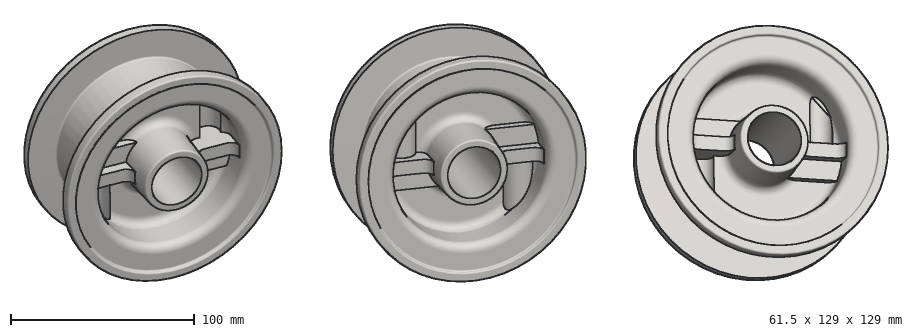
import cadquery as cq
import math

AXIS_START = (0, 0, 0)
AXIS_END = (1, 0, 0)

hub_length = 61.5
bore_radius = 15.0
hub_end_radius = 19.0
hub_root_radius = 20.0
hub_edge_round = 1.0

flange_radius = 64.5
flange_width = 57.0
flange_edge_round = 1.0
flange_inner_x_at_rim = 22.4
flange_inner_x_at_barrel = 22.0
recess_radius = 59.1
recess_round = 1.0

barrel_mid_radius = 46.1
barrel_end_radius = 47.3
barrel_fillet = 1.0

cavity_radius = 43.5
cavity_fillet = 5.0
web_half_thickness = 2.5

hole_offset = 33.3
hole_mouth_radius = 7.1
hole_floor_radius = 6.75
boss_radius = 8.9

rib_half_height = 4.0
rib_half_width = 13.7
rib_fillet = 5.0
rib_inner_y = 19.5
rib_outer_y = 43.2
block_depth = 15.0
block_inner_y = 10.0

hub_end_x = hub_length / 2
flange_face_x = flange_width / 2
recess_face_x = flange_face_x - 2 * recess_round
fillet_top_x = web_half_thickness + cavity_fillet
barrel_end_x = flange_inner_x_at_barrel - barrel_fillet
flange_root_radius = barrel_end_radius + barrel_fillet
block_half_width = fillet_top_x
hub_fillet_radius = hub_root_radius + cavity_fillet
rim_fillet_radius = cavity_radius - cavity_fillet
diagonal = math.sqrt(0.5)


def corner_arc(sketch, center, radius, x_side, r_side, end):
    """Quarter round about center, bulging towards (x_side, r_side), up to end."""
    mid = (center[0] + x_side * radius * diagonal, center[1] + r_side * radius * diagonal)
    return sketch.threePointArc(mid, end)


def half_wheel():
    """Revolved half of the wheel on the +X side, from the mid-plane outwards."""
    profile = cq.Workplane("XY").moveTo(0, bore_radius).lineTo(hub_end_x, bore_radius)

    edge_x = hub_end_x - hub_edge_round
    edge_radius = hub_end_radius - hub_edge_round
    profile = profile.lineTo(hub_end_x, edge_radius)
    profile = corner_arc(profile, (edge_x, edge_radius), hub_edge_round, 1, 1, (edge_x, hub_end_radius))
    profile = profile.lineTo(fillet_top_x, hub_root_radius)

    hub_fillet_center = (fillet_top_x, hub_fillet_radius)
    hub_fillet_end = (web_half_thickness, hub_fillet_radius)
    profile = corner_arc(profile, hub_fillet_center, cavity_fillet, -1, -1, hub_fillet_end)
    profile = profile.lineTo(web_half_thickness, rim_fillet_radius)
    rim_fillet_center = (fillet_top_x, rim_fillet_radius)
    rim_fillet_end = (fillet_top_x, cavity_radius)
    profile = corner_arc(profile, rim_fillet_center, cavity_fillet, -1, 1, rim_fillet_end)
    lip_x = recess_face_x - cavity_fillet
    lip_radius = cavity_radius + cavity_fillet
    profile = profile.lineTo(lip_x, cavity_radius)
    profile = corner_arc(profile, (lip_x, lip_radius), cavity_fillet, 1, -1, (recess_face_x, lip_radius))

    step_x = recess_face_x + recess_round
    inner_step_radius = recess_radius - recess_round
    outer_step_radius = recess_radius + recess_round
    profile = profile.lineTo(recess_face_x, inner_step_radius)
    profile = corner_arc(profile, (step_x, inner_step_radius), recess_round, -1, 1, (step_x, recess_radius))
    step_end = (flange_face_x, outer_step_radius)
    profile = corner_arc(profile, (step_x, outer_step_radius), recess_round, 1, -1, step_end)
    rim_x = flange_face_x - flange_edge_round
    rim_edge_radius = flange_radius - flange_edge_round
    profile = profile.lineTo(flange_face_x, rim_edge_radius)
    profile = corner_arc(profile, (rim_x, rim_edge_radius), flange_edge_round, 1, 1, (rim_x, flange_radius))

    profile = profile.lineTo(flange_inner_x_at_rim, flange_radius)
    profile = profile.lineTo(flange_inner_x_at_barrel, flange_root_radius)
    barrel_fillet_center = (barrel_end_x, flange_root_radius)
    barrel_end = (barrel_end_x, barrel_end_radius)
    profile = corner_arc(profile, barrel_fillet_center, barrel_fillet, 1, -1, barrel_end)
    sag = barrel_end_radius - barrel_mid_radius
    barrel_quarter_point = (barrel_end_x / 2, barrel_mid_radius + sag / 4)
    profile = profile.threePointArc(barrel_quarter_point, (0, barrel_mid_radius))
    return profile.close().revolve(360, AXIS_START, AXIS_END)


def box_between(x_range, y_range, z_range):
    """Box spanning a (low, high) range along each axis."""
    size = [high - low for low, high in (x_range, y_range, z_range)]
    center = [(high + low) / 2 for low, high in (x_range, y_range, z_range)]
    return cq.Workplane("XY").box(*size).translate(tuple(center))


def ring_space():
    """Annular space between hub and barrel that the +Y inserts must stay inside."""
    mid_ring_radius = (bore_radius + hub_end_radius) / 2
    wall_radius = (cavity_radius + barrel_mid_radius) / 2
    ring = cq.Workplane("YZ").circle(wall_radius).circle(mid_ring_radius)
    return ring.extrude(flange_width / 2, both=True)


def rib():
    """Flat rib from hub to rim on the +Y side, flaring into both of them."""
    flare_x = rib_half_width + rib_fillet
    hub_y = bore_radius
    rim_y = barrel_mid_radius
    inner_arc_y = rib_inner_y + rib_fillet
    outer_arc_y = rib_outer_y - rib_fillet
    outline = cq.Workplane("XY").moveTo(0, hub_y).lineTo(flare_x, hub_y).lineTo(flare_x, rib_inner_y)
    inner_arc_end = (rib_half_width, inner_arc_y)
    outline = corner_arc(outline, (flare_x, inner_arc_y), rib_fillet, -1, -1, inner_arc_end)
    outline = outline.lineTo(rib_half_width, outer_arc_y)
    outline = corner_arc(outline, (flare_x, outer_arc_y), rib_fillet, -1, 1, (flare_x, rib_outer_y))
    outline = outline.lineTo(flare_x, rim_y).lineTo(0, rim_y).close()
    half = outline.extrude(rib_half_height, both=True)
    return half.union(half.mirror("YZ"))


def block():
    """Square block under the +Y rib."""
    x_range = (-block_half_width, block_half_width)
    y_range = (block_inner_y, barrel_mid_radius)
    return box_between(x_range, y_range, (-block_depth, 0))


def boss():
    """Half-round boss around the +Y hole, standing on the rib on the -X side of the web."""
    cylinder = cq.Workplane("XY").center(0, hole_offset).circle(boss_radius).extrude(flange_radius)
    minus_x_side = box_between((-boss_radius, 0), (0, flange_radius), (0, flange_radius))
    return cylinder.intersect(minus_x_side)


def hole():
    """Slightly tapered blind hole on the +Y side, from the barrel down to the rib."""
    depth = barrel_mid_radius - rib_half_height
    floor = cq.Workplane("XY", origin=(0, hole_offset, rib_half_height)).circle(hole_floor_radius)
    return floor.workplane(offset=depth).circle(hole_mouth_radius).loft(ruled=True)


def half_turn(body):
    """Copy of body turned 180 degrees about the wheel axis."""
    return body.rotate(AXIS_START, AXIS_END, 180)


half = half_wheel()
result = half.union(half.mirror("YZ"))
insert = rib().union(block()).union(boss()).intersect(ring_space())
cutter = hole()
for added in (insert, half_turn(insert)):
    result = result.union(added)
for removed in (cutter, half_turn(cutter)):
    result = result.cut(removed)